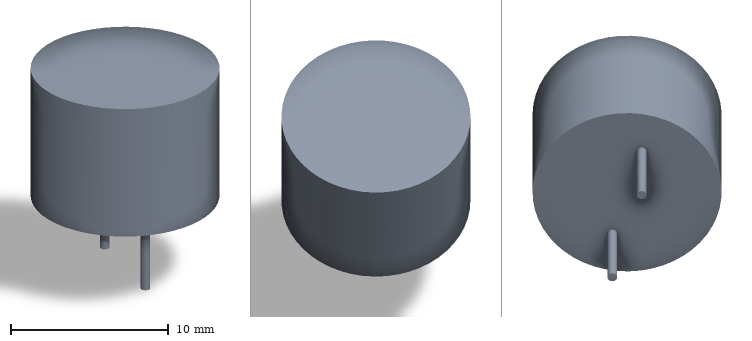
import cadquery as cq

total_height = 14.1
housing_diameter = 12.0
housing_height = 9.0

pin_diameter = 0.6
pin_spacing = 6.5
pin_length = total_height - housing_height


def make_housing():
    """Plain cylinder standing on the XY plane."""
    return cq.Workplane("XY").circle(housing_diameter / 2).extrude(housing_height)


def make_pin(x):
    """Straight round pin hanging from the housing's underside at the given X."""
    return cq.Workplane("XY").center(x, 0).circle(pin_diameter / 2).extrude(-pin_length)


housing = make_housing()
pins = [make_pin(side * pin_spacing / 2) for side in (-1, 1)]

result = cq.Compound.makeCompound([housing.val(), *[pin.val() for pin in pins]])